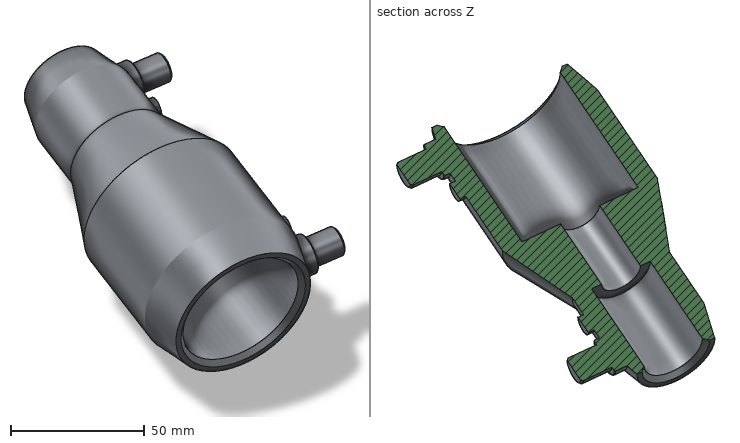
import cadquery as cq

LENGTH = 135.0
TAPER_LENGTH = 15.8
SMALL_BARREL_END = 42.0
LARGE_BARREL_START = 73.5
SMALL_RADIUS = 21.0
LARGE_RADIUS = 33.5
END_STEP = 4.25

SOCKET_WALL = 8.5
SMALL_SOCKET_RADIUS = SMALL_RADIUS - SOCKET_WALL
LARGE_SOCKET_RADIUS = LARGE_RADIUS - SOCKET_WALL
MOUTH_CHAMFER = 2.0
BORE_RADIUS = 8.4

TERMINAL_INSET = 13.4
PIN_RADIUS = 6.0
PIN_TOP = 15.5
PIN_CHAMFER = 0.8
COLLAR_RADIUS = 8.1
COLLAR_CHAMFER = 0.4
BUTTON_INSET = 29.4
BUTTON_RADIUS = 4.0
RAISED_HEIGHT = 2.4
ROOT_DEPTH = 6.1


def turned(outline):
    """Revolve (x, radius) points about the X axis."""
    return cq.Workplane("XY").polyline(outline).close().revolve(360, (0, 0, 0), (1, 0, 0))


def body():
    return turned([
        (0, 0),
        (0, SMALL_RADIUS - END_STEP),
        (TAPER_LENGTH, SMALL_RADIUS),
        (SMALL_BARREL_END, SMALL_RADIUS),
        (LARGE_BARREL_START, LARGE_RADIUS),
        (LENGTH - TAPER_LENGTH, LARGE_RADIUS),
        (LENGTH, LARGE_RADIUS - END_STEP),
        (LENGTH, 0),
    ])


def passage():
    """Both chamfered sockets and the narrower bore between them."""
    return turned([
        (0, 0),
        (0, SMALL_SOCKET_RADIUS + MOUTH_CHAMFER),
        (MOUTH_CHAMFER, SMALL_SOCKET_RADIUS),
        (SMALL_BARREL_END, SMALL_SOCKET_RADIUS),
        (SMALL_BARREL_END, BORE_RADIUS),
        (LARGE_BARREL_START, BORE_RADIUS),
        (LARGE_BARREL_START, LARGE_SOCKET_RADIUS),
        (LENGTH - MOUTH_CHAMFER, LARGE_SOCKET_RADIUS),
        (LENGTH, LARGE_SOCKET_RADIUS + MOUTH_CHAMFER),
        (LENGTH, 0),
    ])


def post(x, radius, barrel_radius, height):
    """Round post along +Y, rooted in the wall and rising above the barrel."""
    root = barrel_radius - ROOT_DEPTH
    return (
        cq.Workplane("XZ", origin=(x, root, 0))
        .circle(radius)
        .extrude(-(ROOT_DEPTH + height))
    )


def terminal(x, barrel_radius):
    pin = post(x, PIN_RADIUS, barrel_radius, PIN_TOP).faces(">Y").chamfer(PIN_CHAMFER)
    collar = post(x, COLLAR_RADIUS, barrel_radius, RAISED_HEIGHT).faces(">Y").chamfer(COLLAR_CHAMFER)
    return collar.union(pin)


result = body().cut(passage())

for terminal_x, button_x, barrel_radius in (
    (TERMINAL_INSET, BUTTON_INSET, SMALL_RADIUS),
    (LENGTH - TERMINAL_INSET, LENGTH - BUTTON_INSET, LARGE_RADIUS),
):
    result = result.union(terminal(terminal_x, barrel_radius))
    result = result.union(post(button_x, BUTTON_RADIUS, barrel_radius, RAISED_HEIGHT))